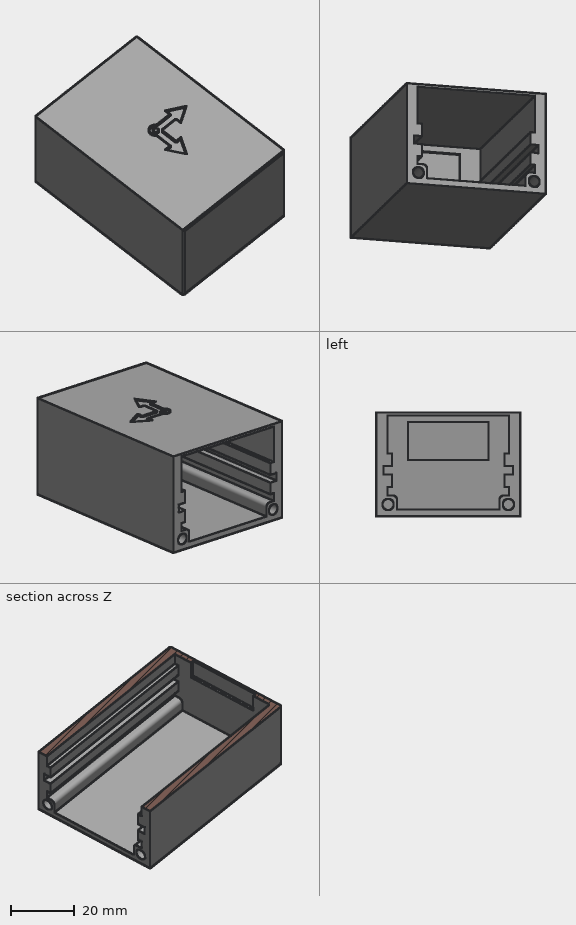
import cadquery as cq
import math

LENGTH = 65.4
WIDTH = 45.2
HEIGHT = 32.6
END_CHAMFER = 0.45

FLOOR = 2.1
ROOF = 0.9
END_WALL = 2.1
CAVITY_HALF_WIDTH = 19.1
CAVITY_DEPTH = LENGTH - END_WALL

RAIL_HALF_GAP = 17.65
RAIL_BOTTOM = 9.15
RAIL_TOP = 19.7
GROOVE_HALF_SPAN = 20.3
GROOVE_BOTTOM = 13.1
GROOVE_TOP = 15.7

BOSS_HALF_GAP = 16.0
BOSS_TOP = 6.55
BOSS_RADIUS = 1.4
SCREW_DIAMETER = 3.5
SCREW_HALF_SPACING = 18.85
SCREW_HEIGHT = 3.7

WINDOW_WIDTH = 25.1
WINDOW_BOTTOM = 17.6
WINDOW_TOP = 29.5
WINDOW_DEPTH = 1.05

MARKER_X = -1.95
MARKER_DEPTH = 0.3
MARKER_WALL_ANGLE = 45.0
MARKER_DISC_RADIUS = 2.3
MARKER_DOT_RADIUS = 0.7
ARROW_LENGTH = 13.75
ARROW_HEAD_LENGTH = 6.15
ARROW_HEAD_HALF_WIDTH = 3.5
ARROW_SHAFT_HALF_WIDTH = 1.4

OPEN_END_X = -LENGTH / 2
TOP_Z = HEIGHT


def section(x):
    """Cross-section plane facing +X: local x is Y, local y is Z above the underside."""
    return cq.Workplane("YZ", origin=(x, 0, 0))


def make_housing():
    block = cq.Workplane("XY").box(LENGTH, WIDTH, HEIGHT, centered=(True, True, False))
    return block.faces(">X").edges().chamfer(END_CHAMFER)


def make_cavity():
    """One half of the cavity outline, mirrored about the mid-plane and extruded."""
    arc_shift = BOSS_RADIUS * (1 - math.sqrt(0.5))
    half = (
        section(OPEN_END_X)
        .moveTo(0, FLOOR)
        .lineTo(BOSS_HALF_GAP, FLOOR)
        .lineTo(BOSS_HALF_GAP, BOSS_TOP - BOSS_RADIUS)
        .threePointArc(
            (BOSS_HALF_GAP + arc_shift, BOSS_TOP - arc_shift),
            (BOSS_HALF_GAP + BOSS_RADIUS, BOSS_TOP),
        )
        .lineTo(CAVITY_HALF_WIDTH, BOSS_TOP)
        .lineTo(CAVITY_HALF_WIDTH, RAIL_BOTTOM)
        .lineTo(RAIL_HALF_GAP, RAIL_BOTTOM)
        .lineTo(RAIL_HALF_GAP, GROOVE_BOTTOM)
        .lineTo(GROOVE_HALF_SPAN, GROOVE_BOTTOM)
        .lineTo(GROOVE_HALF_SPAN, GROOVE_TOP)
        .lineTo(RAIL_HALF_GAP, GROOVE_TOP)
        .lineTo(RAIL_HALF_GAP, RAIL_TOP)
        .lineTo(CAVITY_HALF_WIDTH, RAIL_TOP)
        .lineTo(CAVITY_HALF_WIDTH, HEIGHT - ROOF)
        .lineTo(0, HEIGHT - ROOF)
    )
    return half.mirrorY().extrude(CAVITY_DEPTH)


def make_screw_holes():
    centres = [(side * SCREW_HALF_SPACING, SCREW_HEIGHT) for side in (-1, 1)]
    return section(OPEN_END_X).pushPoints(centres).circle(SCREW_DIAMETER / 2).extrude(CAVITY_DEPTH)


def make_window():
    return (
        section(OPEN_END_X + CAVITY_DEPTH)
        .center(0, (WINDOW_BOTTOM + WINDOW_TOP) / 2)
        .rect(WINDOW_WIDTH, WINDOW_TOP - WINDOW_BOTTOM)
        .extrude(WINDOW_DEPTH)
    )


def make_arrow(heading):
    """Arrow cutter starting at the marker centre; heading is in degrees from +X."""
    head_base = ARROW_LENGTH - ARROW_HEAD_LENGTH
    outline = [
        (0, -ARROW_SHAFT_HALF_WIDTH),
        (head_base, -ARROW_SHAFT_HALF_WIDTH),
        (head_base, -ARROW_HEAD_HALF_WIDTH),
        (ARROW_LENGTH, 0),
        (head_base, ARROW_HEAD_HALF_WIDTH),
        (head_base, ARROW_SHAFT_HALF_WIDTH),
        (0, ARROW_SHAFT_HALF_WIDTH),
    ]
    arrow = (
        cq.Workplane("XY", origin=(0, 0, TOP_Z))
        .polyline(outline)
        .close()
        .extrude(-MARKER_DEPTH, taper=MARKER_WALL_ANGLE)
    )
    return arrow.rotate((0, 0, 0), (0, 0, 1), heading).translate((MARKER_X, 0, 0))


def make_marker():
    """Disc and two arrows, with a small cone left standing at the disc centre."""
    disc_plane = cq.Workplane("XY", origin=(MARKER_X, 0, TOP_Z))
    marker = disc_plane.circle(MARKER_DISC_RADIUS).extrude(-MARKER_DEPTH, taper=MARKER_WALL_ANGLE)
    for heading in (0, 90):
        marker = marker.union(make_arrow(heading))
    dot = disc_plane.circle(MARKER_DOT_RADIUS).extrude(-MARKER_DEPTH, taper=-MARKER_WALL_ANGLE)
    return marker.cut(dot)


result = make_housing()
for cutter in (make_cavity(), make_screw_holes(), make_window(), make_marker()):
    result = result.cut(cutter)